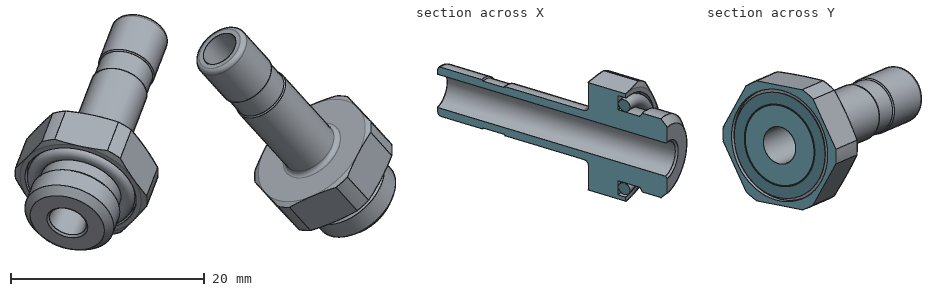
import cadquery as cq

length = 27.5

thread_radius = 4.78
thread_face_radius = 4.0
thread_chamfer_length = 0.77
thread_end = 3.0
neck_radius = 4.32
neck_start = 3.33

hex_across_flats = 13.0
hex_across_corners = 14.2
corner_angle = 30
hex_front = 4.98
hex_back = 9.5
hex_chamfer_length = 0.2

tube_radius = 3.0
tube_fillet = 0.5
tube_end_rounding = 0.5
groove_radius = 2.85
groove_start = 19.42
groove_end = 22.16
groove_taper = 0.15

bore_radius = 1.98
bore_chamfer = 0.22

ring_outer_radius = 5.75
ring_front = 4.45
recess_radius = 5.97
ring_section_radius = (ring_outer_radius - neck_radius) / 2
ring_centre_radius = neck_radius + ring_section_radius
ring_centre_y = ring_front + ring_section_radius
recess_floor = ring_front + 2 * ring_section_radius


def revolve_about_y(outline):
    """Turn a closed (radius, Y) outline fully around the Y axis."""
    return outline.close().revolve(360, (0, 0, 0), (0, 1, 0))


def make_thread_and_neck():
    return revolve_about_y(cq.Workplane("XY").polyline([
        (0, 0),
        (thread_face_radius, 0),
        (thread_radius, thread_chamfer_length),
        (thread_radius, thread_end),
        (neck_radius, neck_start),
        (neck_radius, recess_floor),
        (0, recess_floor),
    ]))


def make_hexagon():
    """Hexagon with round-turned corners, chamfered ends and the ring recess."""
    flat_radius = hex_across_flats / 2
    corner_radius = hex_across_corners / 2
    turned_blank = revolve_about_y(cq.Workplane("XY").polyline([
        (neck_radius, recess_floor),
        (recess_radius, recess_floor),
        (recess_radius, hex_front),
        (flat_radius, hex_front),
        (corner_radius, hex_front + hex_chamfer_length),
        (corner_radius, hex_back - hex_chamfer_length),
        (flat_radius, hex_back),
        (0, hex_back),
        (0, recess_floor),
    ]))
    prism = cq.Workplane("XZ").polygon(6, hex_across_flats, circumscribed=True).extrude(-length)
    prism = prism.rotate((0, 0, 0), (0, 1, 0), corner_angle)
    return turned_blank.intersect(prism)


def make_tube():
    """Tube with a root fillet, a retaining groove and a rounded end."""
    outline = (
        cq.Workplane("XY")
        .moveTo(0, hex_back)
        .lineTo(tube_radius + tube_fillet, hex_back)
        .radiusArc((tube_radius, hex_back + tube_fillet), tube_fillet)
        .lineTo(tube_radius, groove_start)
        .lineTo(groove_radius, groove_start + groove_taper)
        .lineTo(groove_radius, groove_end - groove_taper)
        .lineTo(tube_radius, groove_end)
        .lineTo(tube_radius, length - tube_end_rounding)
        .radiusArc((tube_radius - tube_end_rounding, length), -tube_end_rounding)
        .lineTo(0, length)
    )
    return revolve_about_y(outline)


def make_bore():
    """Through bore, chamfered at the threaded face."""
    return revolve_about_y(cq.Workplane("XY").polyline([
        (0, 0),
        (bore_radius + bore_chamfer, 0),
        (bore_radius, bore_chamfer),
        (bore_radius, length),
        (0, length),
    ]))


def make_fitting():
    return make_thread_and_neck().union(make_hexagon()).union(make_tube()).cut(make_bore())


def make_sealing_ring():
    section = cq.Workplane("XY").center(ring_centre_radius, ring_centre_y).circle(ring_section_radius)
    return section.revolve(360, (-ring_centre_radius, 0, 0), (-ring_centre_radius, 1, 0))


fitting = make_fitting()
sealing_ring = make_sealing_ring()
result = cq.Compound.makeCompound([fitting.val(), sealing_ring.val()])